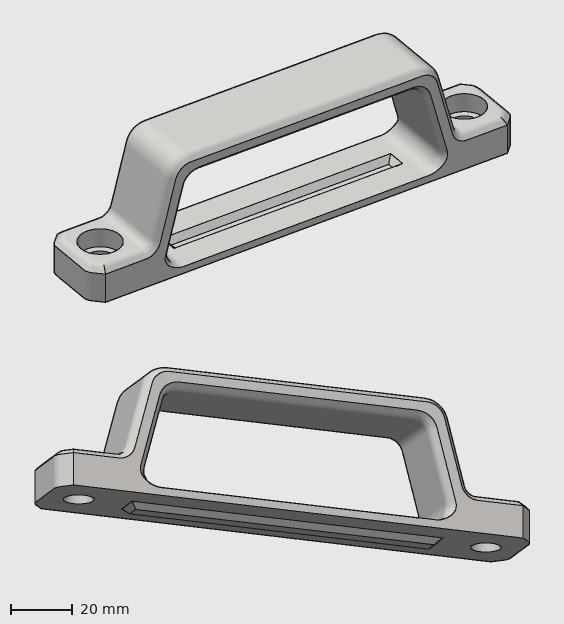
import cadquery as cq
import math

WIDTH = 28.22
LENGTH = 165.99
TOTAL_HEIGHT = 46.65
RIB_HEIGHT = 2.0
HANDLE_TOP = TOTAL_HEIGHT - RIB_HEIGHT

FOOT_HEIGHT = 13.2
FLOOR_THICKNESS = 2.7
FOOT_CORNER_CHAMFER = 4.4
FOOT_CORNER_RADIUS = 4.0

LEG_LEAN = math.radians(15)
LEG_FOOT_Y = 60.0
GRIP_THICKNESS = 7.6
LEG_THICKNESS = 7.9
OUTER_KNEE_RADIUS = 8.5
OUTER_FOOT_RADIUS = 3.7
INNER_KNEE_RADIUS = 5.0
INNER_FLOOR_RADIUS = 5.7

EDGE_CHAMFER = 2.2
EDGE_ROUND = 3.1
FRAME_MARGIN = 5.0

HOLE_Y = 71.2
HOLE_DIAMETER = 10.0
COUNTERBORE_DIAMETER = 15.0
COUNTERBORE_DEPTH = 7.0

RIB_WIDTH = 9.2
RIB_LENGTH = 108.6
GROOVE_WIDTH = 7.0
GROOVE_LENGTH = 89.4
GROOVE_DEPTH = 2.2
SIDE_TAPER = 45

TOLERANCE = 1e-3


def outer_leg_y(z):
    """Half distance between the outer leg faces at height z."""
    return LEG_FOOT_Y - (z - FOOT_HEIGHT) * math.tan(LEG_LEAN)


def inner_leg_y(z):
    """Half distance between the inner leg faces at height z."""
    return outer_leg_y(z) - LEG_THICKNESS / math.cos(LEG_LEAN)


def extrude_across(points, width):
    """Closed YZ outline extruded along X, centred on X = 0."""
    return cq.Workplane("YZ").polyline(points).close().extrude(width / 2, both=True)


def edges_along_x(body, y, z):
    """The two edges parallel to X at height z and at Y = +y and -y."""
    return body.edges("|X").filter(
        lambda e: abs(abs(e.Center().y) - y) < TOLERANCE and abs(e.Center().z - z) < TOLERANCE
    )


def make_outer_body():
    foot_end = LENGTH / 2
    knee_y = outer_leg_y(HANDLE_TOP)
    body = extrude_across([
        (-foot_end, 0),
        (foot_end, 0),
        (foot_end, FOOT_HEIGHT),
        (LEG_FOOT_Y, FOOT_HEIGHT),
        (knee_y, HANDLE_TOP),
        (-knee_y, HANDLE_TOP),
        (-LEG_FOOT_Y, FOOT_HEIGHT),
        (-foot_end, FOOT_HEIGHT),
    ], WIDTH)
    body = edges_along_x(body, knee_y, HANDLE_TOP).fillet(OUTER_KNEE_RADIUS)
    body = edges_along_x(body, LEG_FOOT_Y, FOOT_HEIGHT).fillet(OUTER_FOOT_RADIUS)
    body = body.edges("|Z").chamfer(FOOT_CORNER_CHAMFER)
    return body.edges("|Z and (>Y or <Y)").fillet(FOOT_CORNER_RADIUS)


def soften_outer_edges(body):
    """Chamfer the rim of the upper faces, then round the rim left on those faces."""
    def upper_rim(inset):
        """Edges around the upper faces, inset from the sides, and the foot ends."""
        def on_rim(edge):
            box = edge.BoundingBox()
            center = edge.Center()
            along_side = box.xlen < TOLERANCE and abs(abs(center.x) - WIDTH / 2 + inset) < TOLERANCE
            around_foot = box.zlen < TOLERANCE and abs(center.y) > HOLE_Y
            return center.z > FOOT_HEIGHT - TOLERANCE and (along_side or around_foot)
        return body.edges().filter(on_rim)

    body = upper_rim(0).chamfer(EDGE_CHAMFER)
    return upper_rim(EDGE_CHAMFER).fillet(EDGE_ROUND)


def make_window_frame():
    """Block wider than the handle, pierced by the softened window.

    The extra width lets the corner rounds run out beyond the sides of the handle.
    """
    width = WIDTH + 2 * FRAME_MARGIN
    chamfer = EDGE_CHAMFER + FRAME_MARGIN
    top = HANDLE_TOP - GRIP_THICKNESS
    knee_y = inner_leg_y(top)
    floor_y = inner_leg_y(FLOOR_THICKNESS)
    window = extrude_across([
        (-floor_y, FLOOR_THICKNESS),
        (floor_y, FLOOR_THICKNESS),
        (knee_y, top),
        (-knee_y, top),
    ], width)
    window = edges_along_x(window, knee_y, top).fillet(INNER_KNEE_RADIUS)
    frame = cq.Workplane("XY").box(width, 2 * LENGTH, 2 * TOTAL_HEIGHT).cut(window)

    def window_rim(inset):
        """Window edges on the planes inset from both sides, without the floor edges."""
        def on_rim(edge):
            center = edge.Center()
            return (
                edge.BoundingBox().xlen < TOLERANCE
                and abs(abs(center.x) - width / 2 + inset) < TOLERANCE
                and FLOOR_THICKNESS + TOLERANCE < center.z < top + TOLERANCE
                and abs(center.y) < floor_y
            )
        return frame.edges().filter(on_rim)

    frame = window_rim(0).chamfer(chamfer)
    frame = window_rim(chamfer).fillet(EDGE_ROUND)
    return edges_along_x(frame, floor_y, FLOOR_THICKNESS).fillet(INNER_FLOOR_RADIUS)


def tapered_bar(width, length, height, top_z):
    """Bar below top_z that narrows downward at 45 degrees on all four sides."""
    plane = cq.Plane(origin=(0, 0, top_z), xDir=(1, 0, 0), normal=(0, 0, -1))
    return cq.Workplane(plane).rect(width, length).extrude(height, taper=SIDE_TAPER)


def cut_screw_holes(body):
    return (
        body.copyWorkplane(cq.Workplane("XY", origin=(0, 0, FOOT_HEIGHT)))
        .pushPoints([(0, -HOLE_Y), (0, HOLE_Y)])
        .cboreHole(HOLE_DIAMETER, COUNTERBORE_DIAMETER, COUNTERBORE_DEPTH)
    )


handle = make_outer_body()
handle = soften_outer_edges(handle)
handle = handle.intersect(make_window_frame())
handle = cut_screw_holes(handle)
handle = handle.union(tapered_bar(RIB_WIDTH, RIB_LENGTH, RIB_HEIGHT, 0))
handle = handle.cut(tapered_bar(GROOVE_WIDTH, GROOVE_LENGTH, GROOVE_DEPTH, FLOOR_THICKNESS))
result = handle